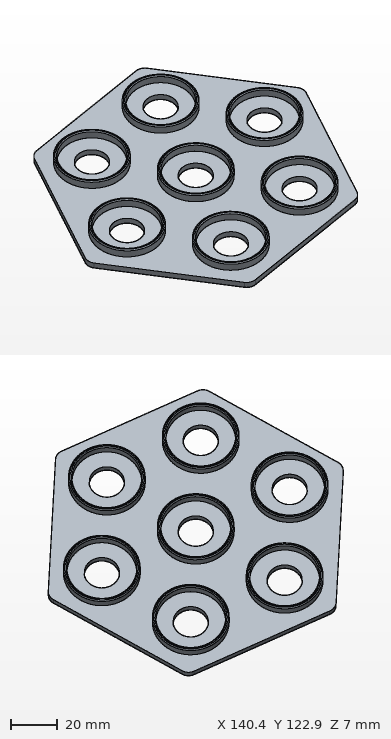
import cadquery as cq
import math

side_count = 6
length_across_corners = 140.4
corner_radius = 5.0
plate_thickness = 3.0

pitch = 45.0
outer_ring_count = side_count
ring_outer_diameter = 32.8
ring_inner_diameter = 29.8
total_height = 7.0
rim_chamfer = 0.5
hole_diameter = 15.0

corner_loss = corner_radius * (1 / math.cos(math.pi / side_count) - 1)
sharp_diameter = length_across_corners + 2 * corner_loss

ring_centers = [(0, 0)] + [
    (
        pitch * math.cos(2 * math.pi * i / outer_ring_count),
        pitch * math.sin(2 * math.pi * i / outer_ring_count),
    )
    for i in range(outer_ring_count)
]


def make_plate():
    """Hexagonal plate with rounded vertical corners."""
    return (
        cq.Workplane("XY")
        .polygon(side_count, sharp_diameter)
        .extrude(plate_thickness)
        .edges("|Z")
        .fillet(corner_radius)
    )


def make_ring():
    """Raised ring standing on the plate, both rim edges chamfered."""
    return (
        cq.Workplane("XY")
        .circle(ring_outer_diameter / 2)
        .circle(ring_inner_diameter / 2)
        .extrude(total_height)
        .faces(">Z")
        .edges()
        .chamfer(rim_chamfer)
    )


result = make_plate()
ring = make_ring()
for x, y in ring_centers:
    result = result.union(ring.translate((x, y, 0)))

holes = (
    cq.Workplane("XY")
    .pushPoints(ring_centers)
    .circle(hole_diameter / 2)
    .extrude(plate_thickness)
)
result = result.cut(holes)